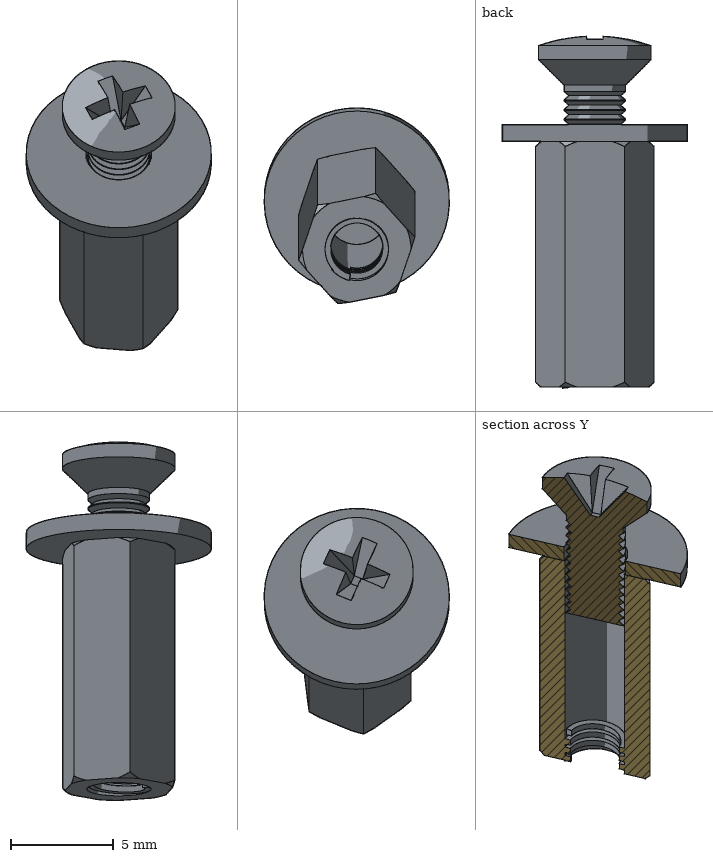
import cadquery as cq
import math

hex_across_flats = 5.0
hex_across_corners = hex_across_flats / math.cos(math.pi / 6)
hex_length = 11.95
hex_end_diameter = 5.27
hex_chamfer = (hex_across_corners - hex_end_diameter) / 2
hex_bore_diameter = 3.08

thread_crest_diameter = 2.53
thread_pitch = 0.5
thread_turns = 3
thread_overhang = 0.05
thread_base_width = 0.38
thread_crest_width = 0.3
thread_root_overlap = 0.03
thread_start_angle = -5

washer_diameter = 9.0
washer_thickness = 0.82
washer_hole_diameter = 3.2

head_diameter = 5.5
dome_height = 0.48
rim_height = 0.67
head_top = 17.09
rim_top = head_top - dome_height
rim_bottom = rim_top - rim_height

shank_diameter = 3.0
shank_root_diameter = 2.53
neck_top = rim_bottom - (head_diameter - shank_diameter) / 2
neck_length = 0.3
groove_width = 0.41
crest_land = 0.05
groove_pitch = groove_width + crest_land
groove_count = 12

recess_span = 3.42
recess_arm_width = 0.8
recess_floor_width = 0.45
recess_depth = 2.05


def make_standoff():
    """Hexagonal column with conically chamfered ends, a through bore and a thread at its foot."""
    column = cq.Workplane("XY").polygon(6, hex_across_corners).extrude(hex_length)
    chamfer_envelope = (
        cq.Workplane("XY")
        .circle(hex_across_corners / 2)
        .extrude(hex_length)
        .faces("<Z or >Z")
        .chamfer(hex_chamfer)
    )
    bore = cq.Workplane("XY").circle(hex_bore_diameter / 2).extrude(hex_length)
    return column.intersect(chamfer_envelope).cut(bore).union(make_thread_ridge())


def make_thread_ridge():
    """Helical trapezoidal ridge whose first end hangs slightly below the foot of the standoff."""
    root_radius = hex_bore_diameter / 2 + thread_root_overlap
    crest_radius = thread_crest_diameter / 2
    half_base = thread_base_width / 2
    half_crest = thread_crest_width / 2
    path = cq.Wire.makeHelix(thread_pitch, thread_turns * thread_pitch, root_radius)
    ridge = (
        cq.Workplane("XZ")
        .moveTo(root_radius, -half_base)
        .lineTo(crest_radius, -half_crest)
        .lineTo(crest_radius, half_crest)
        .lineTo(root_radius, half_base)
        .close()
        .sweep(cq.Workplane(path), isFrenet=True)
    )
    start_height = half_base - thread_overhang
    return ridge.rotate((0, 0, 0), (0, 0, 1), thread_start_angle).translate((0, 0, start_height))


def make_washer():
    """Plain flat washer."""
    return (
        cq.Workplane("XY", origin=(0, 0, hex_length))
        .circle(washer_diameter / 2)
        .circle(washer_hole_diameter / 2)
        .extrude(washer_thickness)
    )


def make_screw():
    """Raised countersunk screw with ring grooves along its shank and a cross recess."""
    head_radius = head_diameter / 2
    shank_radius = shank_diameter / 2
    root_radius = shank_root_diameter / 2
    dome_radius = (head_radius**2 + dome_height**2) / (2 * dome_height)
    mid_angle = math.asin(head_radius / dome_radius) / 2
    dome_middle = (
        dome_radius * math.sin(mid_angle),
        head_top - dome_radius * (1 - math.cos(mid_angle)),
    )
    profile = (
        cq.Workplane("XZ")
        .moveTo(0, head_top)
        .threePointArc(dome_middle, (head_radius, rim_top))
        .lineTo(head_radius, rim_bottom)
        .lineTo(shank_radius, neck_top)
    )
    for index in range(groove_count):
        groove_top = neck_top - neck_length - index * groove_pitch
        profile = (
            profile.lineTo(shank_radius, groove_top)
            .lineTo(root_radius, groove_top - groove_width / 2)
            .lineTo(shank_radius, groove_top - groove_width)
        )
    tip = neck_top - neck_length - groove_count * groove_pitch
    body = profile.lineTo(shank_radius, tip).lineTo(0, tip).close().revolve(360, (0, 0, 0), (0, 1, 0))
    for angle in (0, 90):
        body = body.cut(make_recess_arm().rotate((0, 0, 0), (0, 0, 1), angle))
    return body


def make_recess_arm():
    """Slot cutter that narrows from a long rectangle at the head top to a small square floor."""
    return (
        cq.Workplane("XY", origin=(0, 0, head_top))
        .rect(recess_span, recess_arm_width)
        .workplane(offset=-recess_depth)
        .rect(recess_floor_width, recess_floor_width)
        .loft()
    )


standoff = make_standoff()
washer = make_washer()
screw = make_screw()

result = cq.Compound.makeCompound([body.solids().val() for body in (standoff, washer, screw)])